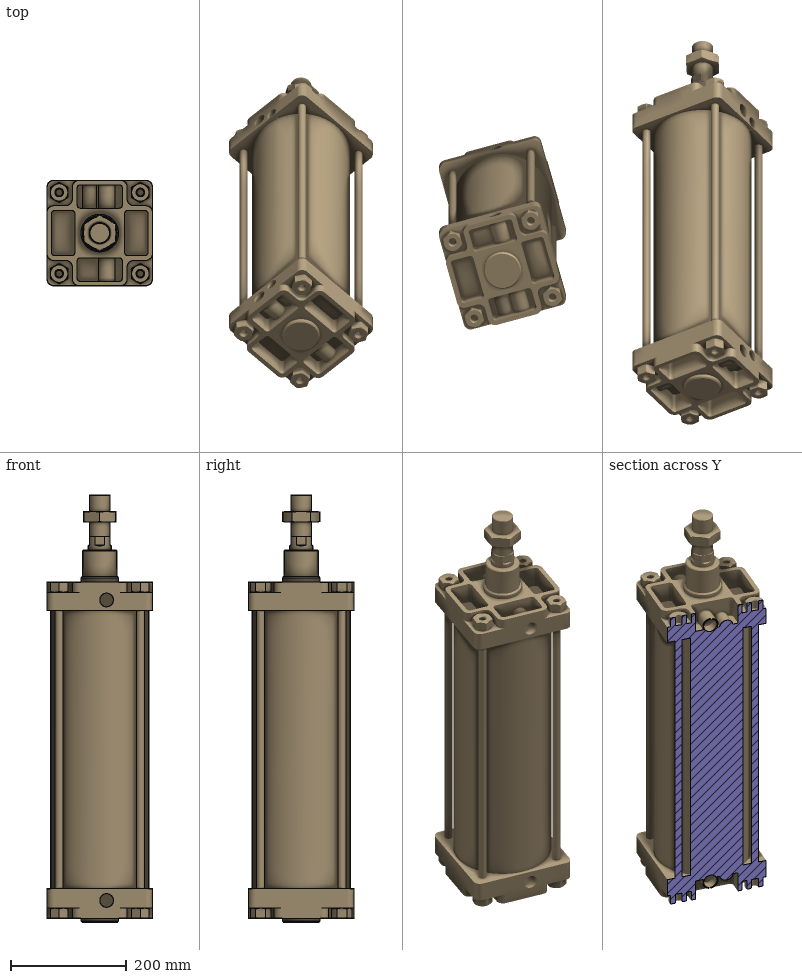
import cadquery as cq
import math

TOTAL_HEIGHT = 738.0
REAR_FACE_Z = 7.0
REAR_CAP_HEIGHT = 52.0
HEAD_FACE_Z = 587.5
HEAD_CAP_HEIGHT = 49.5
NECK_TOP_Z = 597.0
GLAND_TOP_Z = 643.0
FLATS_BOTTOM_Z = 652.0
THREAD_BOTTOM_Z = 666.5
LOCK_NUT_BOTTOM_Z = 691.0
LOCK_NUT_HEIGHT = 18.5

CAP_SIDE = 182.0
CAP_HALF = CAP_SIDE / 2
CAP_CORNER_RADIUS = 12.0
STEP_DEPTH = 18.0
STEP_INNER = 47.0
STEP_FILLET = 12.0
POCKET_LENGTH = 78.0
POCKET_INNER = 43.0
POCKET_OUTER = 83.5
POCKET_DEPTH = 37.0
POCKET_FILLET = 6.0

PORT_X = 12.0
PORT_DEPTH_BELOW_FACE = 31.0
PORT_DIAMETER = 23.5
PORT_LENGTH = 38.5
PORT_BOSS_DIAMETER = 29.0
SCREW_BOSS_X = -18.0
SCREW_BOSS_DIAMETER = 25.0
SCREW_HOLE_DIAMETER = 20.0
SCREW_HOLE_LENGTH = 15.0
SCREW_BOSS_DEPTH_BELOW_FACE = 39.0

BARREL_DIAMETER = 170.0
TIE_ROD_OFFSET = 70.0
TIE_ROD_DIAMETER = 14.0
TIE_NUT_ACROSS_FLATS = 30.0
TIE_NUT_CHAMFER_ANGLE = 30
TIE_NUT_HOLE_DIAMETER = 12.0
TIE_NUT_HOLE_MOUTH_DIAMETER = 15.0

NECK_DIAMETER = 65.0
NECK_CHAMFER = 2.0
GLAND_BASE_DIAMETER = 60.0
GLAND_TOP_DIAMETER = 59.0
GLAND_CHAMFER = 1.5

ROD_DIAMETER = 40.0
THREAD_DIAMETER = 36.0
ROD_END_CHAMFER = 1.1
LOCK_NUT_ACROSS_FLATS = 55.0
LOCK_NUT_CHAMFER_ANGLE = 15


def hex_nut(across_flats, height, chamfer_angle):
    """Hexagon with corners along Y and both ends chamfered down to the inscribed circle."""
    half_side_angle = 30
    corner_diameter = across_flats / math.cos(math.radians(half_side_angle))
    chamfer_width = (corner_diameter - across_flats) / 2
    hexagon = (
        cq.Workplane("XY")
        .polygon(6, corner_diameter)
        .extrude(height)
        .rotate((0, 0, 0), (0, 0, 1), half_side_angle)
    )
    envelope = (
        cq.Workplane("XY")
        .circle(corner_diameter / 2)
        .extrude(height)
        .faces("<Z or >Z")
        .chamfer(chamfer_width * math.tan(math.radians(chamfer_angle)), chamfer_width)
    )
    return hexagon.intersect(envelope)


def corner_step(face_z):
    """Cutter for the nut step at the +X +Y corner, flaring out where it meets the cap sides."""
    flare = STEP_INNER - STEP_FILLET
    outside = CAP_HALF + STEP_FILLET
    bend = math.sqrt(0.5) * STEP_FILLET
    shoulder = CAP_HALF - STEP_FILLET
    inner_bend = STEP_INNER + STEP_FILLET
    return (
        cq.Workplane("XY", origin=(0, 0, face_z - STEP_DEPTH))
        .moveTo(flare, CAP_HALF)
        .threePointArc((flare + bend, shoulder + bend), (STEP_INNER, shoulder))
        .lineTo(STEP_INNER, inner_bend)
        .threePointArc((inner_bend - bend, inner_bend - bend), (inner_bend, STEP_INNER))
        .lineTo(shoulder, STEP_INNER)
        .threePointArc((shoulder + bend, flare + bend), (CAP_HALF, flare))
        .lineTo(outside, flare)
        .lineTo(outside, outside)
        .lineTo(flare, outside)
        .close()
        .extrude(STEP_DEPTH)
    )


def pocket(face_z):
    """Cutter for the pocket on the +X side of a cap."""
    return (
        cq.Workplane("XY", origin=((POCKET_INNER + POCKET_OUTER) / 2, 0, face_z - POCKET_DEPTH))
        .rect(POCKET_OUTER - POCKET_INNER, POCKET_LENGTH)
        .extrude(POCKET_DEPTH)
        .edges("|Z")
        .fillet(POCKET_FILLET)
    )


def bar_along_y(diameter, x, z, y_start, y_end):
    """Round bar parallel to Y; y_end is greater than y_start."""
    return cq.Workplane("XZ", origin=(x, y_start, z)).circle(diameter / 2).extrude(y_start - y_end)


def make_tie_nut():
    """Tie rod nut standing on z = 0, flush with the cap face, with a countersunk hole."""
    nut = hex_nut(TIE_NUT_ACROSS_FLATS, STEP_DEPTH, TIE_NUT_CHAMFER_ANGLE)
    hole = cq.Workplane("XY").circle(TIE_NUT_HOLE_DIAMETER / 2).extrude(STEP_DEPTH)
    mouth_depth = (TIE_NUT_HOLE_MOUTH_DIAMETER - TIE_NUT_HOLE_DIAMETER) / 2
    mouth = (
        cq.Workplane("XY", origin=(0, 0, STEP_DEPTH - mouth_depth))
        .circle(TIE_NUT_HOLE_DIAMETER / 2)
        .workplane(offset=mouth_depth)
        .circle(TIE_NUT_HOLE_MOUTH_DIAMETER / 2)
        .loft()
    )
    return nut.cut(hole).cut(mouth)


def make_cap(height):
    """End cap with its outer face at z = height and its inner face at z = 0."""
    cap = cq.Workplane("XY").rect(CAP_SIDE, CAP_SIDE).extrude(height).edges("|Z").fillet(CAP_CORNER_RADIUS)
    for quarter in range(4):
        angle = 90 * quarter
        cap = cap.cut(corner_step(height).rotate((0, 0, 0), (0, 0, 1), angle))
        cap = cap.cut(pocket(height).rotate((0, 0, 0), (0, 0, 1), angle))

    port_z = height - PORT_DEPTH_BELOW_FACE
    screw_z = height - SCREW_BOSS_DEPTH_BELOW_FACE
    bosses = [
        bar_along_y(PORT_BOSS_DIAMETER, PORT_X, port_z, -POCKET_OUTER, -POCKET_INNER),
        bar_along_y(PORT_BOSS_DIAMETER, PORT_X, port_z, POCKET_INNER, POCKET_OUTER),
        bar_along_y(SCREW_BOSS_DIAMETER, SCREW_BOSS_X, screw_z, POCKET_INNER, POCKET_OUTER),
    ]
    for boss in bosses:
        cap = cap.union(boss)

    holes = [
        bar_along_y(PORT_DIAMETER, PORT_X, port_z, -CAP_HALF, PORT_LENGTH - CAP_HALF),
        bar_along_y(PORT_DIAMETER, PORT_X, port_z, CAP_HALF - PORT_LENGTH, CAP_HALF),
        bar_along_y(SCREW_HOLE_DIAMETER, SCREW_BOSS_X, screw_z, CAP_HALF - SCREW_HOLE_LENGTH, CAP_HALF),
    ]
    for hole in holes:
        cap = cap.cut(hole)

    nut = make_tie_nut().translate((0, 0, height - STEP_DEPTH))
    for x in (-TIE_ROD_OFFSET, TIE_ROD_OFFSET):
        for y in (-TIE_ROD_OFFSET, TIE_ROD_OFFSET):
            cap = cap.union(nut.translate((x, y, 0)))
    return cap


def make_housing():
    head_bottom_z = HEAD_FACE_Z - HEAD_CAP_HEIGHT
    rear_top_z = REAR_FACE_Z + REAR_CAP_HEIGHT
    barrel_length = head_bottom_z - rear_top_z

    head = make_cap(HEAD_CAP_HEIGHT).translate((0, 0, head_bottom_z))
    rear = make_cap(REAR_CAP_HEIGHT).mirror("XY").translate((0, 0, rear_top_z))
    barrel = cq.Workplane("XY", origin=(0, 0, rear_top_z)).circle(BARREL_DIAMETER / 2).extrude(barrel_length)
    tie_rods = (
        cq.Workplane("XY", origin=(0, 0, rear_top_z))
        .rect(2 * TIE_ROD_OFFSET, 2 * TIE_ROD_OFFSET, forConstruction=True)
        .vertices()
        .circle(TIE_ROD_DIAMETER / 2)
        .extrude(barrel_length)
    )
    spigot = (
        cq.Workplane("XY")
        .circle(NECK_DIAMETER / 2)
        .extrude(REAR_FACE_Z)
        .faces("<Z")
        .chamfer(NECK_CHAMFER)
    )
    neck = (
        cq.Workplane("XY", origin=(0, 0, HEAD_FACE_Z))
        .circle(NECK_DIAMETER / 2)
        .extrude(NECK_TOP_Z - HEAD_FACE_Z)
        .faces(">Z")
        .chamfer(NECK_CHAMFER)
    )
    gland = (
        cq.Workplane("XY", origin=(0, 0, NECK_TOP_Z))
        .circle(GLAND_BASE_DIAMETER / 2)
        .workplane(offset=GLAND_TOP_Z - NECK_TOP_Z)
        .circle(GLAND_TOP_DIAMETER / 2)
        .loft()
        .faces(">Z")
        .chamfer(GLAND_CHAMFER)
    )
    rod_bore = (
        cq.Workplane("XY", origin=(0, 0, head_bottom_z))
        .circle(ROD_DIAMETER / 2)
        .extrude(GLAND_TOP_Z - head_bottom_z)
    )
    housing = barrel.union(tie_rods).union(head).union(rear).union(spigot).union(neck).union(gland)
    return housing.cut(rod_bore)


def make_rod():
    """Piston rod, seated on the bottom of its bore, with four wrench flats that run out at 45 degrees."""
    bottom_z = HEAD_FACE_Z - HEAD_CAP_HEIGHT
    shank = (
        cq.Workplane("XY", origin=(0, 0, bottom_z))
        .circle(ROD_DIAMETER / 2)
        .extrude(THREAD_BOTTOM_Z - bottom_z)
    )
    thread = (
        cq.Workplane("XY", origin=(0, 0, THREAD_BOTTOM_Z))
        .circle(THREAD_DIAMETER / 2)
        .extrude(TOTAL_HEIGHT - THREAD_BOTTOM_Z)
        .faces(">Z")
        .chamfer(ROD_END_CHAMFER)
    )
    runout = ROD_DIAMETER - THREAD_DIAMETER
    half_flats = THREAD_DIAMETER / 2
    flat_cutter = (
        cq.Workplane("XZ", origin=(0, ROD_DIAMETER, 0))
        .moveTo(half_flats, THREAD_BOTTOM_Z)
        .lineTo(half_flats, FLATS_BOTTOM_Z)
        .lineTo(half_flats + runout, FLATS_BOTTOM_Z - runout)
        .lineTo(half_flats + runout, THREAD_BOTTOM_Z)
        .close()
        .extrude(2 * ROD_DIAMETER)
    )
    for quarter in range(4):
        shank = shank.cut(flat_cutter.rotate((0, 0, 0), (0, 0, 1), 90 * quarter))
    return shank.union(thread)


def make_lock_nut():
    nut = hex_nut(LOCK_NUT_ACROSS_FLATS, LOCK_NUT_HEIGHT, LOCK_NUT_CHAMFER_ANGLE)
    bore = cq.Workplane("XY").circle(THREAD_DIAMETER / 2).extrude(LOCK_NUT_HEIGHT)
    return nut.cut(bore).translate((0, 0, LOCK_NUT_BOTTOM_Z))


housing = make_housing()
rod = make_rod()
lock_nut = make_lock_nut()

bodies = [housing, rod, lock_nut]
result = cq.Compound.makeCompound([body.solids().val() for body in bodies])